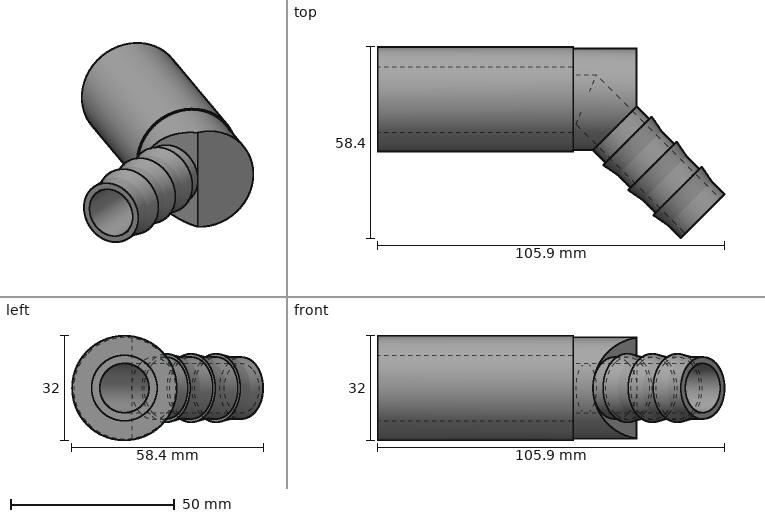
import cadquery as cq
import math

SLEEVE_DIAMETER = 32.0
SLEEVE_LENGTH = 59.7

ELBOW_DIAMETER = 31.0
ELBOW_END_X = 79.0

BEND_X = 63.5
BEND_ANGLE = 45.0
SEAT_DISTANCE = 12.5

SPIGOT_DIAMETER = 19.0
SPIGOT_END = 50.4
BARB_DIAMETER = 21.0
BARB_COUNT = 3
FIRST_BARB = 17.9
BARB_PITCH = 10.8
BARB_LENGTH = 5.3

BORE_DIAMETER = 15.0
SOCKET_DIAMETER = 20.0
SOCKET_DEPTH = SLEEVE_LENGTH

bend_radians = math.radians(BEND_ANGLE)
spigot_direction = cq.Vector(math.cos(bend_radians), -math.sin(bend_radians), 0)
bend_point = cq.Vector(BEND_X, 0, 0)


def rod(diameter, start_x, end_x):
    """Solid cylinder on the X axis between two X positions."""
    return cq.Workplane("YZ", origin=(start_x, 0, 0)).circle(diameter / 2).extrude(end_x - start_x)


def make_elbow():
    """Round block whose corner is cut square to the spigot to form a flat seat."""
    block = rod(ELBOW_DIAMETER, SLEEVE_LENGTH, ELBOW_END_X)
    cutter_size = 3 * ELBOW_DIAMETER
    seat_center = bend_point + spigot_direction * SEAT_DISTANCE
    seat_plane = cq.Plane(origin=seat_center, xDir=(0, 0, 1), normal=spigot_direction)
    beyond_seat = cq.Workplane(seat_plane).rect(cutter_size, cutter_size).extrude(cutter_size)
    return block.cut(beyond_seat)


def make_spigot():
    """Revolved spigot with saw-tooth barbs that taper towards its free end."""
    spigot_radius = SPIGOT_DIAMETER / 2
    barb_radius = BARB_DIAMETER / 2
    profile = [(0, SEAT_DISTANCE), (spigot_radius, SEAT_DISTANCE)]
    for index in range(BARB_COUNT):
        barb_start = FIRST_BARB + index * BARB_PITCH
        profile.append((spigot_radius, barb_start))
        profile.append((barb_radius, barb_start))
        profile.append((spigot_radius, barb_start + BARB_LENGTH))
    profile += [(spigot_radius, SPIGOT_END), (0, SPIGOT_END)]

    up = cq.Vector(0, 0, 1)
    sketch_plane = cq.Plane(origin=bend_point, xDir=spigot_direction.cross(up), normal=up)
    return cq.Workplane(sketch_plane).polyline(profile).close().revolve(360, (0, 0), (0, 1))


def make_bore():
    """Constant bore with a mitred bend, from the sleeve mouth to the spigot tip."""
    spigot_tip = bend_point + spigot_direction * SPIGOT_END
    path = cq.Workplane("XY").polyline([(0, 0), (BEND_X, 0), (spigot_tip.x, spigot_tip.y)])
    return cq.Workplane("YZ").circle(BORE_DIAMETER / 2).sweep(path, transition="right")


sleeve = rod(SLEEVE_DIAMETER, 0, SLEEVE_LENGTH)
socket = rod(SOCKET_DIAMETER, 0, SOCKET_DEPTH)

result = sleeve.union(make_elbow()).union(make_spigot()).cut(socket).cut(make_bore())